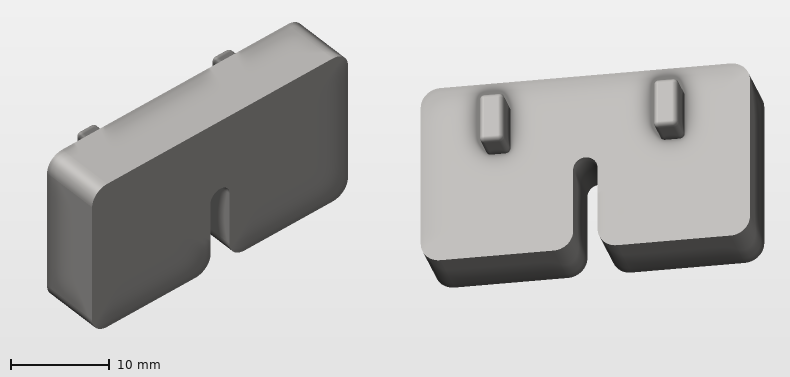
import cadquery as cq

block_depth = 7.0
block_width = 34.0
block_height = 19.0
corner_radius = 2.0

slot_width = 2.5
slot_height = 10.0
slot_radius = slot_width / 2

peg_length = 3.5
peg_width = 2.5
peg_height = 5.25
peg_spacing = 18.0
peg_center_z = 13.8
peg_fillet = 0.5
peg_embed = 0.35


def make_block():
    """Rounded block, with its -X face at X = 0 and its bottom at Z = 0."""
    block = cq.Workplane("XY").box(
        block_depth, block_width, block_height, centered=(False, True, False)
    )
    slot = (
        cq.Workplane("YZ")
        .moveTo(-slot_radius, 0)
        .lineTo(-slot_radius, slot_height - slot_radius)
        .threePointArc((0, slot_height), (slot_radius, slot_height - slot_radius))
        .lineTo(slot_radius, 0)
        .close()
        .extrude(block_depth)
    )
    corner_edges = "(|X and >Z) or (|X and <Z)"
    return block.cut(slot).edges(corner_edges).fillet(corner_radius)


def make_peg(center_y):
    """Peg with rounded sides and tip, sunk slightly into the block."""
    return (
        cq.Workplane("XY")
        .box(peg_length + peg_embed, peg_width, peg_height)
        .edges("|X or <X")
        .fillet(peg_fillet)
        .translate(((peg_embed - peg_length) / 2, center_y, peg_center_z))
    )


result = make_block()
for side in (-1, 1):
    result = result.union(make_peg(side * peg_spacing / 2))